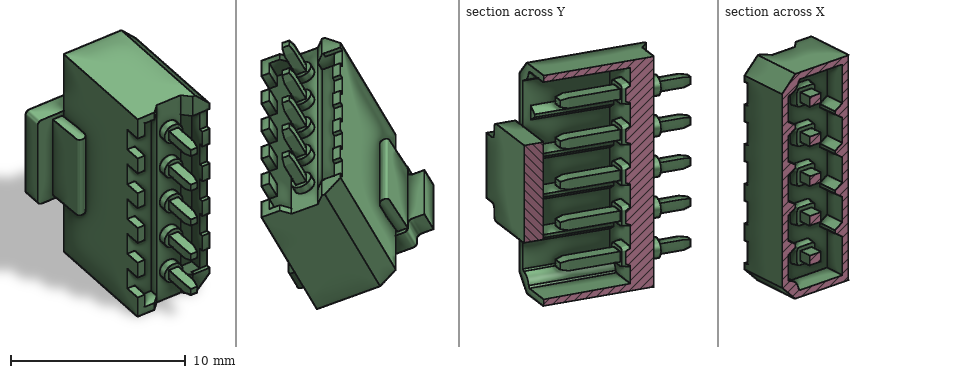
import cadquery as cq
import math


HOUSING_LENGTH = 7.5
HOUSING_WIDTH = 5.0
HOUSING_HEIGHT = 14.2
CORNER_CHAMFER = 1.0

CAVITY_WIDTH = 4.09
CAVITY_HEIGHT = 13.33
CAVITY_DEPTH = 5.5
DRAFT_ANGLE = 0.5
CORNER_POST_RADIUS = 0.8
CORNER_POST_FOOT = 0.88
CORNER_POST_ANGLE = 10.0

PIN_COUNT = 5
PIN_PITCH = 2.5
BLADE_WIDTH = 0.84
BLADE_THICKNESS = 0.64
BLADE_TIP_WIDTH = 0.64
BLADE_TIP_THICKNESS = 0.41
BLADE_START = 1.25
TAIL_SIZE = 0.64
TAIL_TIP_SIZE = 0.44
TAIL_LENGTH = 2.07
PIN_TAPER_LENGTH = 0.5

COLLAR_WIDTH = 1.52
COLLAR_HEIGHT = 1.32
COLLAR_PROJECTION = 0.5
COLLAR_RADIUS = 0.3
COLLAR_TAPER = 10.0

RIB_START = 0.5
RIB_TIP_Y = 1.45
RIB_TIP_WIDTH = 0.23
RIB_BASE_WIDTH = 1.0

CHANNEL_DEPTH = 0.5
CHANNEL_FLOOR_WIDTH = 1.66
BOSS_DIAMETER = 1.25
GROOVE_DEPTH = 1.04
GROOVE_OUTER_Y = 2.0
GROOVE_DRAFT = 1.0
LOWER_GROOVE_LENGTH = 13.2
SLOT_WIDTH = 1.42
SHALLOW_SLOT_DEPTH = 0.25

PLATE_THICKNESS = 1.24
PLATE_WIDTH = 8.6
PLATE_HEIGHT = 6.02
TAB_LENGTH = 1.04
TAB_HEIGHT = 4.0
PLATE_RADIUS = 0.3
ARM_LENGTH = 2.5
ARM_ROOT_Y = 3.25
ARM_END_Y = 3.17
ARM_ROOT_GAP = 0.09
ARM_CONTACT_START = 1.28
ARM_OUTER_RADIUS = 0.2
ARM_INNER_RADIUS = 0.4

FLOOR_X = CAVITY_DEPTH
CHANNEL_X = HOUSING_LENGTH - CHANNEL_DEPTH
WALL_THICKNESS = (HOUSING_WIDTH - CAVITY_WIDTH) / 2
PIN_ROW_LENGTH = (PIN_COUNT - 1) * PIN_PITCH
PIN_HEIGHTS = [i * PIN_PITCH - PIN_ROW_LENGTH / 2 for i in range(PIN_COUNT)]
UPPER_GROOVE_LENGTH = PIN_ROW_LENGTH + SLOT_WIDTH
RIB_HEIGHTS = [z + PIN_PITCH / 2 for z in PIN_HEIGHTS[:-1]]


def yz_plane(x):
    """Workplane at the given X with local axes Y and Z and its normal along +X."""
    return cq.Workplane("YZ", origin=(x, 0, 0))


def toward_mouth_plane(x, z=0):
    """Workplane at the given X and Z with local axes Y and -Z and its normal along -X."""
    return cq.Workplane(cq.Plane(origin=(x, 0, z), xDir=(0, 1, 0), normal=(-1, 0, 0)))


def block(x_range, y_range, z_range):
    """Box spanning the three given ranges."""
    lows, highs = zip(x_range, y_range, z_range)
    sizes = [high - low for low, high in zip(lows, highs)]
    return cq.Workplane("XY").box(*sizes, centered=False).translate(lows)


def shell_block():
    """Outer block of the housing, its two +Y corners chamfered."""
    return (
        yz_plane(0)
        .rect(HOUSING_WIDTH, HOUSING_HEIGHT)
        .extrude(HOUSING_LENGTH)
        .edges("|X and >Y")
        .chamfer(CORNER_CHAMFER)
    )


def corner_post_points(side):
    """Foot, round start, round middle, round end and foot of the post at the corner with Z of
    the given sign, starting on the Z wall."""
    angles = [CORNER_POST_ANGLE, 45.0, 90.0 - CORNER_POST_ANGLE]
    offsets = [(CORNER_POST_FOOT, 0)]
    for angle in angles:
        radians = math.radians(angle)
        offsets.append((CORNER_POST_RADIUS * math.cos(radians), CORNER_POST_RADIUS * math.sin(radians)))
    offsets.append((0, CORNER_POST_FOOT))
    return [(CAVITY_WIDTH / 2 - dy, side * (CAVITY_HEIGHT / 2 - dz)) for dy, dz in offsets]


def cavity():
    """Drafted cavity whose two +Y corners are filled by round posts."""
    half_y = CAVITY_WIDTH / 2
    half_z = CAVITY_HEIGHT / 2
    lower = corner_post_points(-1)
    upper = corner_post_points(1)[::-1]
    outline = yz_plane(0).moveTo(-half_y, -half_z)
    for foot, round_start, round_middle, round_end, far_foot in (lower, upper):
        outline = outline.lineTo(*foot).lineTo(*round_start)
        outline = outline.threePointArc(round_middle, round_end).lineTo(*far_foot)
    outline = outline.lineTo(-half_y, half_z).close()
    return outline.extrude(CAVITY_DEPTH, taper=DRAFT_ANGLE)


def guide_rib(z, side):
    """Drafted wedge on the cavity wall at Y of the given sign, rooted in the wall and the floor."""
    root_y = side * (CAVITY_WIDTH + WALL_THICKNESS) / 2
    wall_y = side * CAVITY_WIDTH / 2
    tip_y = side * RIB_TIP_Y
    base = RIB_BASE_WIDTH / 2
    tip = RIB_TIP_WIDTH / 2
    lower_half = [(root_y, -base), (wall_y, -base), (tip_y, -tip)]
    upper_half = [(y, -height) for y, height in reversed(lower_half)]
    return (
        toward_mouth_plane(FLOOR_X, z)
        .polyline(lower_half + upper_half)
        .close()
        .extrude(FLOOR_X - RIB_START, taper=DRAFT_ANGLE)
    )


def end_channel():
    """Trapezoidal channel along Z across the tail end, with 45 degree sides."""
    half_floor = CHANNEL_FLOOR_WIDTH / 2
    half_top = half_floor + CHANNEL_DEPTH
    return (
        cq.Workplane("XY", origin=(0, 0, -HOUSING_HEIGHT / 2))
        .polyline(
            [
                (CHANNEL_X, -half_floor),
                (HOUSING_LENGTH, -half_top),
                (HOUSING_LENGTH, half_top),
                (CHANNEL_X, half_floor),
            ]
        )
        .close()
        .extrude(HOUSING_HEIGHT)
    )


def end_groove(side, length):
    """Drafted groove along Z in the tail end, between the pin row and the wall at Y of the given sign."""
    inner_y = CHANNEL_FLOOR_WIDTH / 2
    return (
        toward_mouth_plane(HOUSING_LENGTH)
        .center(side * (inner_y + GROOVE_OUTER_Y) / 2, 0)
        .rect(GROOVE_OUTER_Y - inner_y, length)
        .extrude(GROOVE_DEPTH, taper=GROOVE_DRAFT)
    )


def tail_slots(z):
    """Slots from the grooves out through both long walls: deep on -Y, shallow on +Y."""
    wall_y = HOUSING_WIDTH / 2
    groove_y = (CHANNEL_FLOOR_WIDTH / 2 + GROOVE_OUTER_Y) / 2
    z_range = (z - SLOT_WIDTH / 2, z + SLOT_WIDTH / 2)
    deep = block((HOUSING_LENGTH - GROOVE_DEPTH, HOUSING_LENGTH), (-wall_y, -groove_y), z_range)
    shallow = block((HOUSING_LENGTH - SHALLOW_SLOT_DEPTH, HOUSING_LENGTH), (groove_y, wall_y), z_range)
    return deep.union(shallow)


def pin_collar(z):
    """Tapered collar with rounded corners standing on the cavity floor."""
    outline = cq.Sketch().rect(COLLAR_WIDTH, COLLAR_HEIGHT).vertices().fillet(COLLAR_RADIUS)
    return (
        toward_mouth_plane(FLOOR_X, z)
        .placeSketch(outline)
        .extrude(COLLAR_PROJECTION, taper=COLLAR_TAPER)
    )


def tapered_tip(plane, base_size, tip_size):
    """Frustum from a rectangle on the plane to a smaller one further along its normal."""
    return plane.rect(*base_size).workplane(offset=PIN_TAPER_LENGTH).rect(*tip_size).loft(combine=True)


def pin(z):
    """Contact blade in the cavity, round boss at the tail end and square tail."""
    blade_size = (BLADE_WIDTH, BLADE_THICKNESS)
    blade_tip_size = (BLADE_TIP_WIDTH, BLADE_TIP_THICKNESS)
    blade_base_x = BLADE_START + PIN_TAPER_LENGTH
    tail_base_x = HOUSING_LENGTH + TAIL_LENGTH - PIN_TAPER_LENGTH
    blade = yz_plane(blade_base_x).center(0, z).rect(*blade_size).extrude(CHANNEL_X - blade_base_x)
    blade_tip = tapered_tip(toward_mouth_plane(blade_base_x, z), blade_size, blade_tip_size)
    boss = yz_plane(CHANNEL_X).center(0, z).circle(BOSS_DIAMETER / 2).extrude(CHANNEL_DEPTH)
    tail = yz_plane(CHANNEL_X).center(0, z).rect(TAIL_SIZE, TAIL_SIZE).extrude(tail_base_x - CHANNEL_X)
    tail_tip = tapered_tip(
        yz_plane(tail_base_x).center(0, z), (TAIL_SIZE, TAIL_SIZE), (TAIL_TIP_SIZE, TAIL_TIP_SIZE)
    )
    return blade.union(blade_tip).union(boss).union(tail).union(tail_tip)


def make_housing():
    """Housing with its row of pins moulded in, as one solid."""
    body = shell_block().cut(cavity()).cut(end_channel())
    body = body.cut(end_groove(-1, LOWER_GROOVE_LENGTH)).cut(end_groove(1, UPPER_GROOVE_LENGTH))
    for z in RIB_HEIGHTS:
        for side in (-1, 1):
            body = body.union(guide_rib(z, side))
    for z in PIN_HEIGHTS:
        body = body.cut(tail_slots(z)).union(pin_collar(z)).union(pin(z))
    return body


def cap_plate():
    """Flat plate in front of the mouth with rounded corners and a narrower tab on +Y."""
    edge_y = PLATE_WIDTH / 2
    shoulder_y = edge_y - TAB_LENGTH
    half_height = PLATE_HEIGHT / 2
    half_tab = TAB_HEIGHT / 2
    plate = block((-PLATE_THICKNESS, 0), (-edge_y, shoulder_y), (-half_height, half_height))
    tab = block((-PLATE_THICKNESS, 0), (shoulder_y, edge_y), (-half_tab, half_tab))
    corner_edges = plate.union(tab).edges("|X").edges("not >Y")
    return corner_edges.fillet(PLATE_RADIUS)


def cap_arm():
    """Arm along the +Y side of the housing, leaning in until it touches the wall."""
    half_height = PLATE_HEIGHT / 2 - PLATE_RADIUS
    wall_y = HOUSING_WIDTH / 2
    arm = (
        cq.Workplane("XY", origin=(0, 0, -half_height))
        .polyline(
            [
                (0, wall_y + ARM_ROOT_GAP),
                (ARM_CONTACT_START, wall_y),
                (ARM_LENGTH, wall_y),
                (ARM_LENGTH, ARM_END_Y),
                (0, ARM_ROOT_Y),
            ]
        )
        .close()
        .extrude(2 * half_height)
    )
    arm = arm.edges("|Z and >X").edges(">Y").fillet(ARM_OUTER_RADIUS)
    return arm.edges("|Z and >X").edges("<Y").fillet(ARM_INNER_RADIUS)


def make_cap():
    """Pick-up cap: plate and two mirrored arms."""
    arm = cap_arm()
    return cap_plate().union(arm).union(arm.mirror("XZ"))


housing = make_housing()
cap = make_cap()
result = cq.Compound.makeCompound([housing.val(), cap.val()])